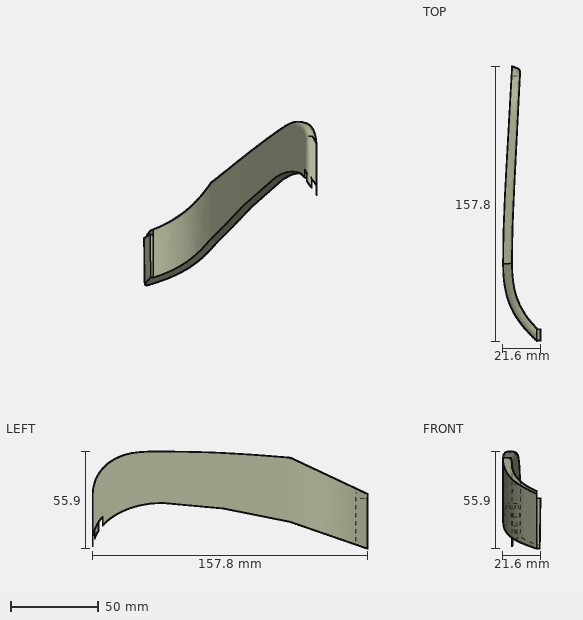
import cadquery as cq
import math


wall = 5.2
bend_y = 44.5
front_x = 19.5
front_bow = (6.3, 16.0)
rear_tip = (5.2, 157.83)
rear_bow = (2.0, 101.0)
inner_rear_bow = (rear_bow[0] + wall, rear_bow[1])
rear_direction = (0.055, 1.0)
front_direction = (0.72, -0.7)
inner_front_tip = (front_x, 7.2)
inner_front_bow = (9.7, 20.7)
end_slope = math.radians(22)

height = 55.93
front_top_z = 31.5
bend_top_z = 52.4
tail_bottom_z = 31.5
crest_rise = (1, 0.085)
crest_points = [(84.0, 55.15), (121.0, height), (139.5, 54.0), (152.2, 46.1)]
edge_radius = 2.6

bend_bottom_z = 15.4
mid_bottom = (82.9, 23.1)
arch_y = 118.0
arch_z = 26.3
arch_length = 39.93
arch_drop = 26.8
arch_steps = 8

rim_depth = 5.0
notch_y = 152.2
stub_x = (7.8, front_x)
stub_start_y = 154.5
stub_end_y = 157.0
spike_width = 0.15

tab_y = (0.4, 7.0)
tab_top_x = 21.64
tab_bottom_x = 21.2
tab_height = 29.2
tab_overlap = 0.3

upright_limit = 0.999
clearance = 1.0


def plan_prism():
    """Bent wall of nearly constant thickness, extruded over the full height."""
    inner_tip = (
        rear_tip[0] + wall * math.cos(end_slope),
        rear_tip[1] - wall * math.sin(end_slope),
    )
    rear_return = (-rear_direction[0], -rear_direction[1])
    front_return = (-front_direction[0], -front_direction[1])
    along = (0, 1)
    back = (0, -1)
    return (
        cq.Workplane("XY")
        .moveTo(0, bend_y)
        .spline([rear_bow, rear_tip], tangents=[along, rear_direction], includeCurrent=True)
        .lineTo(*inner_tip)
        .spline([inner_rear_bow, (wall, bend_y)], tangents=[rear_return, back], includeCurrent=True)
        .spline([inner_front_bow, inner_front_tip], tangents=[back, front_direction], includeCurrent=True)
        .lineTo(front_x, 0)
        .spline([front_bow, (0, bend_y)], tangents=[front_return, along], includeCurrent=True)
        .close()
        .extrude(height + clearance)
    )


def arch_height(y):
    """Height of the lower edge under the rear end."""
    return arch_z - arch_drop * (1 - math.sqrt(1 - ((y - arch_y) / arch_length) ** 2))


def arch_points(start_y, end_y, rise=0.0):
    """Points along the elliptical arch, raised by a given amount."""
    step = (end_y - start_y) / arch_steps
    ys = [start_y + step * i for i in range(arch_steps + 1)]
    return [(y, arch_height(y) + rise) for y in ys]


def side_prism(width):
    """Side outline extruded across a given width."""
    arch = arch_points(arch_y, rear_tip[1])
    return (
        cq.Workplane("YZ")
        .moveTo(0, 0)
        .lineTo(0, front_top_z)
        .lineTo(bend_y, bend_top_z)
        .spline(
            [*crest_points, (rear_tip[1], tail_bottom_z)],
            tangents=[crest_rise, (0, -1)],
            includeCurrent=True,
        )
        .lineTo(*arch[-1])
        .spline(arch[-2::-1], includeCurrent=True)
        .lineTo(*mid_bottom)
        .lineTo(bend_y, bend_bottom_z)
        .close()
        .extrude(width)
    )


def is_inner_upper(edge):
    """True for the upper edges of the inner faces and the upright inner rear edge."""
    middle = edge.positionAt(0.5)
    upright = abs(edge.tangentAt(0.5).z) > upright_limit
    if upright:
        return middle.y > rear_tip[1] - wall and middle.x > rear_tip[0] + wall / 2
    return middle.z > front_top_z


def wall_body():
    """Wall with its inner upper and rear edges rounded."""
    body = plan_prism().intersect(side_prism(front_x))
    inner_faces = []
    for point in (inner_front_bow, inner_rear_bow):
        nearest = cq.selectors.NearestToPointSelector((*point, front_top_z))
        inner_faces.append(body.faces(nearest).val())
    edges = [edge for face in inner_faces for edge in face.Edges() if is_inner_upper(edge)]
    return body.newObject(edges).fillet(edge_radius)


def notch():
    """Opening in the lower rim, leaving a stub and a thin spike at the rear."""
    roof = arch_points(notch_y, rear_tip[1], rim_depth)
    opening = (
        cq.Workplane("YZ")
        .moveTo(notch_y, 0)
        .lineTo(*roof[0])
        .spline(roof[1:], includeCurrent=True)
        .lineTo(rear_tip[1], 0)
        .close()
        .extrude(front_x)
    )
    stub = slab(*stub_x, stub_start_y, stub_end_y)
    spike = slab(0, front_x, rear_tip[1] - spike_width, rear_tip[1])
    return opening.cut(stub).cut(spike)


def slab(start_x, end_x, start_y, end_y):
    """Full-height block between two X and two Y positions."""
    block = cq.Workplane("XY").box(end_x - start_x, end_y - start_y, height, centered=False)
    return block.translate((start_x, start_y, 0))


def tab():
    """Slightly tapered tab on the front end face, following the lower edge of the wall."""
    root_x = front_x - tab_overlap
    blank = (
        cq.Workplane("XZ", origin=(0, tab_y[0], 0))
        .polyline([(root_x, 0), (tab_bottom_x, 0), (tab_top_x, tab_height), (root_x, tab_height)])
        .close()
        .extrude(tab_y[0] - tab_y[1])
    )
    return blank.intersect(side_prism(tab_top_x))


result = wall_body().cut(notch()).union(tab())